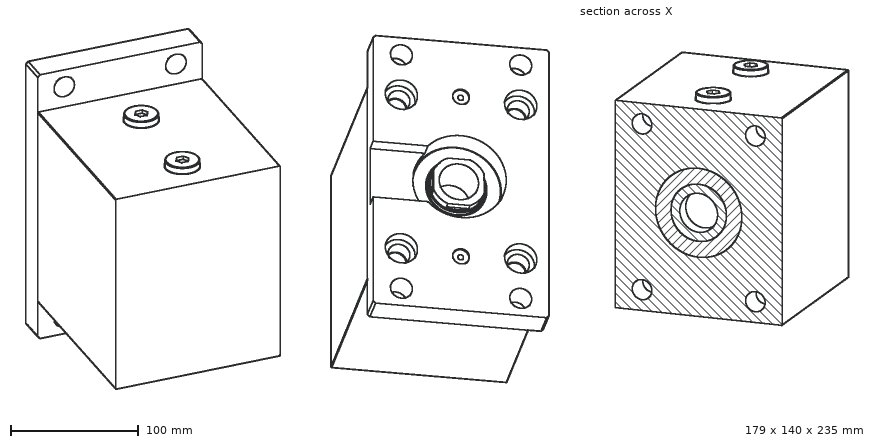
import cadquery as cq
import math


total_length = 179.0
width = 140.0
flange_height = 235.0
flange_thickness = 24.0
flange_chamfer = 2.0
block_length = total_length - flange_thickness
block_height = 169.2
block_top = block_height / 2
block_chamfer = 0.59

hole_y = 47.5
clearance_diameter = 17.5
mounting_z = 102.5
bolt_z = 67.5
bolt_head_diameter = 25.5
bolt_head_depth = 10.3
thread_diameter = 16.0
thread_depth = 33.0
drill_point_angle = 118.0

port_z = 70.0
port_diameter = 4.5
port_seat_diameter = 13.2
port_seat_depth = 1.6

slot_height = 48.9
slot_depth = 13.0

gland_diameter = 72.0
gland_front = 19.7
gland_length = 28.2
gland_chamfer = 1.0
gland_mouth_diameter = 48.6
gland_mouth_depth = 1.5

rod_diameter = 46.0
rod_front = 9.2
rod_length = 94.0
rod_neck_diameter = 43.7
rod_neck_length = 8.0
rod_flats = 40.0
rod_flats_length = 5.6
rod_hole_diameter = 31.3
rod_hole_depth = 37.5

plug_x_positions = (66.0, 148.0)
plug_diameter = 27.3
plug_height = 5.2
plug_chamfer = 0.7
plug_seat_diameter = 28.5
plug_seat_depth = 0.7
plug_hex_flats = 9.5
plug_hex_depth = 2.8
hex_turn = 0.0


def box(x_start, x_length, y_size, z_size):
    """Box centred on the rod axis."""
    return cq.Workplane("XY").box(x_length, y_size, z_size).translate((x_start + x_length / 2, 0, 0))


def cylinder(x_start, length, diameter, y=0.0, z=0.0):
    """Cylinder parallel to the rod axis."""
    return cq.Workplane("YZ", origin=(x_start, y, z)).circle(diameter / 2).extrude(length)


def drilled_hole(x_start, depth, diameter, y=0.0, z=0.0):
    """Blind hole along +X that ends in a drill point."""
    radius = diameter / 2
    point_length = radius / math.tan(math.radians(drill_point_angle / 2))
    profile = cq.Workplane("XY").polyline(
        [(0, 0), (0, radius), (depth, radius), (depth + point_length, 0)]
    ).close()
    return profile.revolve(360, (0, 0, 0), (1, 0, 0)).translate((x_start, y, z))


def mirrored_places(y, z):
    """The four places symmetric about the rod axis."""
    return [(side * y, level * z) for side in (-1, 1) for level in (-1, 1)]


def make_flange():
    flange = box(0, flange_thickness, width, flange_height).edges("|X").chamfer(flange_chamfer)

    for y, z in mirrored_places(hole_y, mounting_z):
        flange = flange.cut(cylinder(0, flange_thickness, clearance_diameter, y, z))

    for y, z in mirrored_places(hole_y, bolt_z):
        flange = flange.cut(cylinder(0, flange_thickness, clearance_diameter, y, z))
        flange = flange.cut(cylinder(0, bolt_head_depth, bolt_head_diameter, y, z))

    for z in (-port_z, port_z):
        flange = flange.cut(cylinder(0, flange_thickness, port_diameter, 0, z))
        flange = flange.cut(cylinder(0, port_seat_depth, port_seat_diameter, 0, z))

    flange = flange.cut(cylinder(0, flange_thickness, gland_diameter))
    slot = box(0, slot_depth, width / 2, slot_height).translate((0, width / 4, 0))
    return flange.cut(slot)


def make_block():
    block = box(flange_thickness, block_length, width, block_height).edges("|X").chamfer(block_chamfer)

    for y, z in mirrored_places(hole_y, bolt_z):
        block = block.cut(drilled_hole(flange_thickness, thread_depth, thread_diameter, y, z))

    for x in plug_x_positions:
        seat = cq.Workplane("XY", origin=(x, 0, block_top)).circle(plug_seat_diameter / 2)
        block = block.cut(seat.extrude(-plug_seat_depth))

    gland_end = gland_front + gland_length
    block = block.cut(cylinder(flange_thickness, gland_end - flange_thickness, gland_diameter))
    return block.cut(cylinder(rod_front, rod_length, rod_diameter))


def make_gland():
    gland = cylinder(gland_front, gland_length, gland_diameter).faces("<X").chamfer(gland_chamfer)
    gland = gland.cut(cylinder(gland_front, gland_length, rod_diameter))
    return gland.cut(cylinder(gland_front, gland_mouth_depth, gland_mouth_diameter))


def make_rod():
    """Rod with a narrower neck whose tip carries four wrench flats."""
    tip = cylinder(rod_front, rod_flats_length, rod_neck_diameter)
    tip = tip.intersect(box(rod_front, rod_flats_length, rod_flats, rod_flats))
    neck = cylinder(rod_front + rod_flats_length, rod_neck_length - rod_flats_length, rod_neck_diameter)
    shank = cylinder(rod_front + rod_neck_length, rod_length - rod_neck_length, rod_diameter)
    rod = tip.union(neck).union(shank)
    return rod.cut(drilled_hole(rod_front, rod_hole_depth, rod_hole_diameter))


def make_plug(x):
    """Round plug head set in its seat in the block, with a hexagon socket that has corners along Y."""
    plug = (
        cq.Workplane("XY", origin=(x, 0, block_top - plug_seat_depth))
        .circle(plug_diameter / 2)
        .extrude(plug_seat_depth + plug_height)
        .faces(">Z")
        .chamfer(plug_chamfer)
    )
    socket = (
        cq.Workplane("XY")
        .polygon(6, plug_hex_flats, circumscribed=True)
        .extrude(plug_hex_depth)
        .rotate((0, 0, 0), (0, 0, 1), hex_turn)
        .translate((x, 0, block_top + plug_height - plug_hex_depth))
    )
    return plug.cut(socket)


flange = make_flange()
block = make_block()
gland = make_gland()
rod = make_rod()
plugs = [make_plug(x) for x in plug_x_positions]

result = cq.Compound.makeCompound(
    [flange.val(), block.val(), gland.val(), rod.val(), *[plug.val() for plug in plugs]]
)